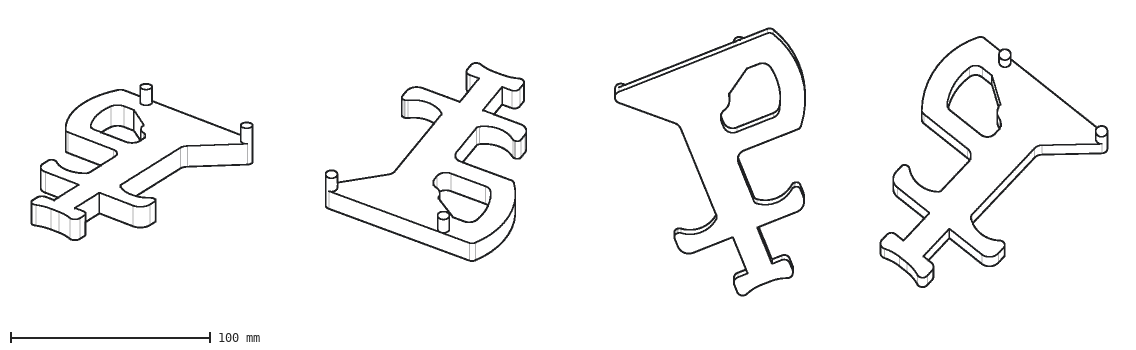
import cadquery as cq
import math

plate_thickness = 12.0
pin_height = 9.0
pin_radius = 3.0
pin_x = 32.0
left_side_x = -56.3

rim_width = 12.5
rim_radius = 43.1
rim_centre_y = -22.5
handle_bottom_y = -51.2
window_top_y = -13.0
window_bottom_y = -41.0
brace_top_x = -pin_x
brace_bottom_y = -22.0
bulge_radius = 6.2
bulge_centre = (-12.2, -22.3)

shank_width = 20.3
shank_half = shank_width / 2
arm_half = 33.9
arm_tip_y = -77.9
arm_bottom_y = -90.1
saddle_half = 10.2
saddle_depth = 4.0
stem_half = 6.6
foot_half = 15.0
foot_top_y = -110.0
foot_bottom_y = -119.8
foot_hollow_y = -118.0
hollow_flat_half = 2.5
brace_angle = math.radians(42.2)

rim_top_fillet = 3.0
rim_bottom_fillet = 3.0
handle_shank_fillet = 5.0
window_fillet = 5.0
brace_shank_fillet = 5.0
arm_tip_fillet = 2.0
saddle_shank_fillet = 2.0
arm_heel_fillet = 6.0
foot_fillet = 3.0

rim_centre_x = left_side_x + rim_radius
pin_y = -pin_radius


def rim_x(radius, y):
    """X on the left half of a rim arc at height y."""
    return rim_centre_x - math.sqrt(radius**2 - (y - rim_centre_y)**2)


def round_corners(body, corners, radius):
    """Fillet the upright edges standing at the given plan points."""
    for x, y in corners:
        nearest = cq.selectors.NearestToPointSelector((x, y, plate_thickness / 2))
        body = body.edges("|Z").edges(nearest).fillet(radius)
    return body


def both_sides(x, y):
    return [(-x, y), (x, y)]


def make_plate():
    slope_top = (
        pin_x + pin_radius * math.sin(brace_angle),
        pin_y - pin_radius * math.cos(brace_angle),
    )
    slope_bottom_y = slope_top[1] - (slope_top[0] - shank_half) * math.tan(brace_angle)

    saddle_end_x = shank_half + 2 * saddle_half
    saddle_middle = (shank_half + saddle_half, arm_tip_y - saddle_depth)

    toe_x = foot_half - foot_fillet
    toe_y = foot_bottom_y + foot_fillet
    toe_rise = toe_y - foot_hollow_y
    toe_reach = toe_x - hollow_flat_half
    hollow_radius = (toe_reach**2 + toe_rise**2 - foot_fillet**2) / (2 * (foot_fillet - toe_rise))
    hollow_centre_y = foot_hollow_y - hollow_radius
    toe_share = hollow_radius / (hollow_radius + foot_fillet)
    hollow_end_x = hollow_flat_half + toe_reach * toe_share
    hollow_end_y = hollow_centre_y + (toe_y - hollow_centre_y) * toe_share
    toe_diagonal = foot_fillet * math.sqrt(0.5)

    rim_top = (rim_x(rim_radius, 0), 0)
    rim_bottom = (rim_x(rim_radius, handle_bottom_y), handle_bottom_y)

    plate = (
        cq.Workplane("XY")
        .moveTo(*rim_top)
        .lineTo(pin_x, 0)
        .lineTo(*slope_top)
        .lineTo(shank_half, slope_bottom_y)
        .lineTo(shank_half, arm_tip_y)
        .threePointArc(saddle_middle, (saddle_end_x, arm_tip_y))
        .lineTo(arm_half, arm_tip_y)
        .lineTo(arm_half, arm_bottom_y)
        .lineTo(stem_half, arm_bottom_y)
        .lineTo(stem_half, foot_top_y)
        .lineTo(foot_half, foot_top_y)
        .lineTo(foot_half, toe_y)
        .threePointArc((toe_x + toe_diagonal, toe_y - toe_diagonal), (toe_x, foot_bottom_y))
        .radiusArc((hollow_end_x, hollow_end_y), foot_fillet)
        .radiusArc((hollow_flat_half, foot_hollow_y), -hollow_radius)
        .lineTo(-hollow_flat_half, foot_hollow_y)
        .radiusArc((-hollow_end_x, hollow_end_y), -hollow_radius)
        .radiusArc((-toe_x, foot_bottom_y), foot_fillet)
        .threePointArc((-toe_x - toe_diagonal, toe_y - toe_diagonal), (-foot_half, toe_y))
        .lineTo(-foot_half, foot_top_y)
        .lineTo(-stem_half, foot_top_y)
        .lineTo(-stem_half, arm_bottom_y)
        .lineTo(-arm_half, arm_bottom_y)
        .lineTo(-arm_half, arm_tip_y)
        .lineTo(-saddle_end_x, arm_tip_y)
        .threePointArc((-saddle_middle[0], saddle_middle[1]), (-shank_half, arm_tip_y))
        .lineTo(-shank_half, handle_bottom_y)
        .lineTo(*rim_bottom)
        .threePointArc((left_side_x, rim_centre_y), rim_top)
        .close()
        .extrude(plate_thickness)
    )
    plate = round_corners(plate, [rim_top], rim_top_fillet)
    plate = round_corners(plate, [rim_bottom], rim_bottom_fillet)
    plate = round_corners(plate, [(-shank_half, handle_bottom_y)], handle_shank_fillet)
    plate = round_corners(plate, [(shank_half, slope_bottom_y)], brace_shank_fillet)
    plate = round_corners(plate, both_sides(arm_half, arm_bottom_y), arm_heel_fillet)
    plate = round_corners(plate, both_sides(arm_half, arm_tip_y), arm_tip_fillet)
    plate = round_corners(plate, both_sides(saddle_end_x, arm_tip_y), arm_tip_fillet)
    plate = round_corners(plate, both_sides(shank_half, arm_tip_y), saddle_shank_fillet)
    plate = round_corners(plate, both_sides(foot_half, foot_top_y), foot_fillet)
    return plate


def make_window():
    """Cutter for the finger opening between the rim, the brace and the shank."""
    inner_radius = rim_radius - rim_width
    top_left = (rim_x(inner_radius, window_top_y), window_top_y)
    bottom_left = (rim_x(inner_radius, window_bottom_y), window_bottom_y)
    bottom_right = (-shank_half, window_bottom_y)

    centre_x, centre_y = bulge_centre
    brace_bottom_x = centre_x - math.sqrt(bulge_radius**2 - (brace_bottom_y - centre_y)**2)
    bulge_end_y = centre_y - math.sqrt(bulge_radius**2 - (-shank_half - centre_x)**2)
    bulge_end = (-shank_half, bulge_end_y)
    bulge_diagonal = bulge_radius * math.sqrt(0.5)
    bulge_middle = (centre_x - bulge_diagonal, centre_y - bulge_diagonal)

    window = (
        cq.Workplane("XY")
        .moveTo(*top_left)
        .lineTo(brace_top_x, window_top_y)
        .lineTo(brace_bottom_x, brace_bottom_y)
        .threePointArc(bulge_middle, bulge_end)
        .lineTo(*bottom_right)
        .lineTo(*bottom_left)
        .threePointArc((left_side_x + rim_width, rim_centre_y), top_left)
        .close()
        .extrude(plate_thickness)
    )
    return round_corners(window, [top_left, bulge_end, bottom_right, bottom_left], window_fillet)


def make_pin(x, bottom_z):
    pin_top_z = plate_thickness + pin_height
    base = cq.Workplane("XY").workplane(offset=bottom_z).center(x, pin_y)
    return base.circle(pin_radius).extrude(pin_top_z - bottom_z)


left_pin = make_pin(-pin_x, plate_thickness)
right_pin = make_pin(pin_x, 0)
result = make_plate().cut(make_window()).union(left_pin).union(right_pin)